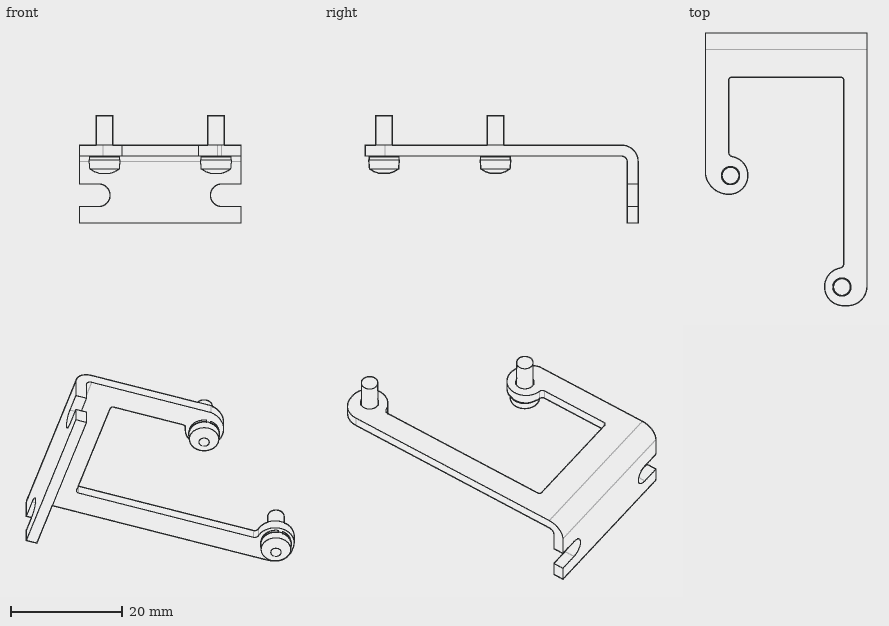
import cadquery as cq
import math

WIDTH = 29.0
LENGTH = 49.0
FLANGE_HEIGHT = 14.0
SHEET = 2.0
BEND_INNER_RADIUS = 1.0
BEND_OUTER_RADIUS = BEND_INNER_RADIUS + SHEET

ARM_WIDTH = 4.2
CROSS_DEPTH = 8.0
INNER_FILLET = 0.5
NECK_FILLET = 0.75
SHORT_ARM_LENGTH = 29.0
PAD_RADIUS = 3.45
PAD_CORNER_HEIGHT = 3.55
LONG_ARM_CORNER_WIDTH = 3.55
SHORT_ARM_CORNER_WIDTH = ARM_WIDTH

SLOT_WIDTH = 4.0
SLOT_DEPTH = 5.5
SLOT_CENTER_HEIGHT = 5.0

HOLE_DIAMETER = 3.3
SCREW_DIAMETER = 3.0
SCREW_INSET_X = 4.5
SCREW_INSET_Y = 3.4
SCREW_PROTRUSION = 5.3
HEAD_DIAMETER = 5.6
HEAD_RIM_DIAMETER = 5.3
HEAD_SIDE_HEIGHT = 1.55
HEAD_DOME_HEIGHT = 0.85
HEAD_DOME_RADIUS = 4.1
HEAD_FLAT_DIAMETER = 1.85
WASHER_OUTER_DIAMETER = 5.4
WASHER_THICKNESS = 0.6
WASHER_SPLIT = 0.8
WASHER_CLEARANCE = 0.1

WASHER_TOP = -SHEET - WASHER_CLEARANCE
HEAD_TOP = WASHER_TOP - WASHER_THICKNESS
SCREW_AXES = [
    (SCREW_INSET_X, SCREW_INSET_Y - SHORT_ARM_LENGTH),
    (WIDTH - SCREW_INSET_X, SCREW_INSET_Y - LENGTH),
]


def make_bent_sheet():
    """L-shaped sheet over the full width and length, with a rounded bend."""
    profile = (
        cq.Workplane("YZ")
        .moveTo(-LENGTH, 0)
        .lineTo(-BEND_OUTER_RADIUS, 0)
        .radiusArc((0, -BEND_OUTER_RADIUS), BEND_OUTER_RADIUS)
        .lineTo(0, -FLANGE_HEIGHT)
        .lineTo(-SHEET, -FLANGE_HEIGHT)
        .lineTo(-SHEET, -BEND_OUTER_RADIUS)
        .radiusArc((-BEND_OUTER_RADIUS, -SHEET), -BEND_INNER_RADIUS)
        .lineTo(-LENGTH, -SHEET)
        .close()
    )
    return profile.extrude(WIDTH)


def make_arm(length, corner_width):
    """Solid over the plan of one arm: outer side at X = 0, tip at Y = -length.

    The outer corner is an arc that runs tangentially into the tip.
    """
    corner_radius = (corner_width**2 + PAD_CORNER_HEIGHT**2) / (2 * PAD_CORNER_HEIGHT)
    pad_y = PAD_RADIUS - length
    neck_y = pad_y + math.sqrt(PAD_RADIUS**2 + 2 * PAD_RADIUS * NECK_FILLET)
    pad_share = PAD_RADIUS / (PAD_RADIUS + NECK_FILLET)
    neck_end = (ARM_WIDTH + NECK_FILLET * pad_share, pad_y + (neck_y - pad_y) * pad_share)
    pad_side = (ARM_WIDTH + PAD_RADIUS, pad_y)
    outline = (
        cq.Workplane("XY")
        .moveTo(0, 0)
        .lineTo(0, PAD_CORNER_HEIGHT - length)
        .radiusArc((corner_width, -length), -corner_radius)
    )
    if corner_width < ARM_WIDTH:
        outline = outline.lineTo(ARM_WIDTH, -length)
    outline = (
        outline.radiusArc(pad_side, -PAD_RADIUS)
        .radiusArc(neck_end, -PAD_RADIUS)
        .radiusArc((ARM_WIDTH, neck_y), NECK_FILLET)
        .lineTo(ARM_WIDTH, 0)
        .close()
    )
    return outline.extrude(-FLANGE_HEIGHT)


def make_bracket():
    short_arm = make_arm(SHORT_ARM_LENGTH, SHORT_ARM_CORNER_WIDTH)
    long_arm = make_arm(LENGTH, LONG_ARM_CORNER_WIDTH).mirror("YZ").translate((WIDTH, 0, 0))
    cross_piece = cq.Workplane("XY").box(WIDTH, CROSS_DEPTH, FLANGE_HEIGHT, centered=False)
    cross_piece = cross_piece.translate((0, -CROSS_DEPTH, -FLANGE_HEIGHT))
    plan = cross_piece.union(short_arm).union(long_arm)
    window_corners = cq.selectors.BoxSelector(
        (ARM_WIDTH / 2, -CROSS_DEPTH - INNER_FILLET, -FLANGE_HEIGHT),
        (WIDTH - ARM_WIDTH / 2, -CROSS_DEPTH + INNER_FILLET, 0),
    )
    plan = plan.edges("|Z").edges(window_corners).fillet(INNER_FILLET)
    bracket = make_bent_sheet().intersect(plan)

    slot_z = SLOT_CENTER_HEIGHT - FLANGE_HEIGHT
    slots = (
        cq.Workplane("XZ")
        .pushPoints([(0, slot_z), (WIDTH, slot_z)])
        .slot2D(2 * SLOT_DEPTH, SLOT_WIDTH)
        .extrude(SHEET)
    )
    holes = cq.Workplane("XY").pushPoints(SCREW_AXES).circle(HOLE_DIAMETER / 2).extrude(-SHEET)
    return bracket.cut(slots).cut(holes)


def make_screw(axis):
    """Pan-head screw, inserted from below, with a flattened dome on its head."""
    head_side_end = HEAD_TOP - HEAD_SIDE_HEIGHT
    head_bottom = head_side_end - HEAD_DOME_HEIGHT
    screw = (
        cq.Workplane("XZ")
        .moveTo(0, SCREW_PROTRUSION)
        .lineTo(SCREW_DIAMETER / 2, SCREW_PROTRUSION)
        .lineTo(SCREW_DIAMETER / 2, HEAD_TOP)
        .lineTo(HEAD_DIAMETER / 2, HEAD_TOP)
        .lineTo(HEAD_RIM_DIAMETER / 2, head_side_end)
        .radiusArc((HEAD_FLAT_DIAMETER / 2, head_bottom), HEAD_DOME_RADIUS)
        .lineTo(0, head_bottom)
        .close()
        .revolve(360, (0, 0), (0, 1))
    )
    return screw.translate((*axis, 0))


def make_washer(axis):
    """Split washer between the screw head and the sheet, open towards -X."""
    ring = (
        cq.Workplane("XY", origin=(0, 0, HEAD_TOP))
        .circle(WASHER_OUTER_DIAMETER / 2)
        .circle(SCREW_DIAMETER / 2)
        .extrude(WASHER_THICKNESS)
    )
    split = (
        cq.Workplane("XY", origin=(-WASHER_OUTER_DIAMETER / 2, 0, HEAD_TOP))
        .rect(WASHER_OUTER_DIAMETER, WASHER_SPLIT)
        .extrude(WASHER_THICKNESS)
    )
    return ring.cut(split).translate((*axis, 0))


bracket = make_bracket()
screws = [make_screw(axis) for axis in SCREW_AXES]
washers = [make_washer(axis) for axis in SCREW_AXES]

result = cq.Compound.makeCompound([
    bracket.val(),
    *[screw.val() for screw in screws],
    *[washer.val() for washer in washers],
])